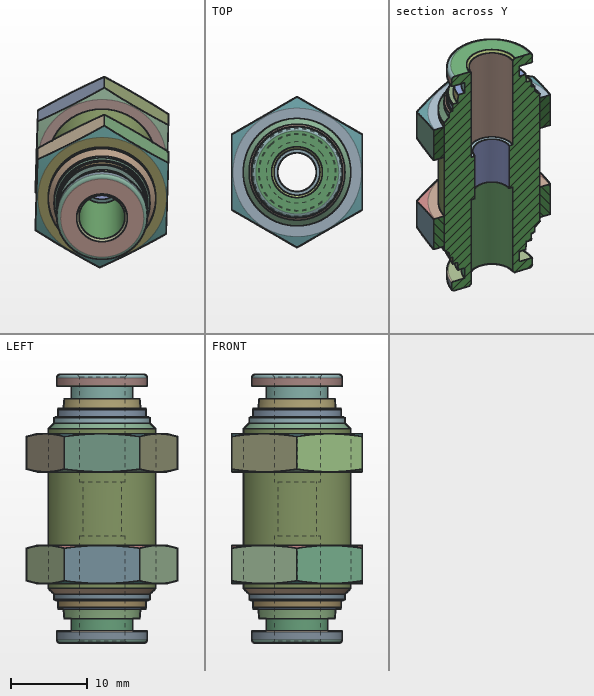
import cadquery as cq
import math

LENGTH = 35.0
HALF_LENGTH = LENGTH / 2

FLANGE_DIA = 11.8
FLANGE_THICKNESS = 1.6
FLANGE_OUTER_ROUND = 0.5
FLANGE_INNER_ROUND = 0.18

NECK_DIA = 8.0
SLEEVE_DEPTH = 3.2
SLEEVE_OUTER_DIA = 9.87
SLEEVE_INNER_DIA = 10.1
RING_DIA = 11.5
RING_DEPTH = 4.45
RING_CHAMFER_RADIAL = 0.07
RING_CHAMFER_AXIAL = 0.2
SHOULDER_DIA = 12.5
SHOULDER_DEPTH = 5.53
SHOULDER_CHAMFER_RADIAL = 0.28
SHOULDER_CHAMFER_AXIAL = 0.18
CONE_DEPTH = 6.37
BARREL_DIA = 14.0
BARREL_DEPTH = CONE_DEPTH + (BARREL_DIA - SHOULDER_DIA) / 2

BORE_DIA = 5.0
SOCKET_DIA = 6.0
SOCKET_DEPTH = 14.0
SOCKET_CHAMFER = 0.3

NUT_ACROSS_FLATS = 17.0
NUT_ACROSS_CORNERS = NUT_ACROSS_FLATS / math.cos(math.radians(30))
NUT_DEPTH = 7.75
NUT_THICKNESS = 5.0
NUT_FACE_DIA = 16.73
NUT_CHAMFER_ANGLE = 15.0
NUT_CENTER = HALF_LENGTH - NUT_DEPTH - NUT_THICKNESS / 2


def make_flange():
    """Round-edged disc at the upper end."""
    return (
        cq.Workplane("XY", origin=(0, 0, HALF_LENGTH - FLANGE_THICKNESS))
        .circle(FLANGE_DIA / 2)
        .extrude(FLANGE_THICKNESS)
        .faces(">Z").edges().fillet(FLANGE_OUTER_ROUND)
        .faces("<Z").edges().fillet(FLANGE_INNER_ROUND)
    )


def make_stem():
    """Solid stepped stem with both ends alike, revolved about Z."""
    shoulder_radius = SHOULDER_DIA / 2
    ring_radius = RING_DIA / 2
    upper_profile = [
        (BARREL_DIA / 2, HALF_LENGTH - BARREL_DEPTH),
        (shoulder_radius, HALF_LENGTH - CONE_DEPTH),
        (shoulder_radius, HALF_LENGTH - SHOULDER_DEPTH - SHOULDER_CHAMFER_AXIAL),
        (shoulder_radius - SHOULDER_CHAMFER_RADIAL, HALF_LENGTH - SHOULDER_DEPTH),
        (ring_radius, HALF_LENGTH - SHOULDER_DEPTH),
        (ring_radius, HALF_LENGTH - RING_DEPTH - RING_CHAMFER_AXIAL),
        (ring_radius - RING_CHAMFER_RADIAL, HALF_LENGTH - RING_DEPTH),
        (SLEEVE_INNER_DIA / 2, HALF_LENGTH - RING_DEPTH),
        (SLEEVE_OUTER_DIA / 2, HALF_LENGTH - SLEEVE_DEPTH),
        (NECK_DIA / 2, HALF_LENGTH - SLEEVE_DEPTH),
        (NECK_DIA / 2, HALF_LENGTH),
        (0, HALF_LENGTH),
    ]
    lower_profile = [(radius, -z) for radius, z in reversed(upper_profile)]
    profile = lower_profile + upper_profile
    return cq.Workplane("XZ").polyline(profile).close().revolve(360, (0, 0), (0, 1))


def make_socket_cutter():
    """Tube socket with a chamfered mouth, at the upper end."""
    socket_radius = SOCKET_DIA / 2
    profile = [
        (0, HALF_LENGTH - SOCKET_DEPTH),
        (socket_radius, HALF_LENGTH - SOCKET_DEPTH),
        (socket_radius, HALF_LENGTH - SOCKET_CHAMFER),
        (socket_radius + SOCKET_CHAMFER, HALF_LENGTH),
        (0, HALF_LENGTH),
    ]
    return cq.Workplane("XZ").polyline(profile).close().revolve(360, (0, 0), (0, 1))


def make_fitting():
    """Stepped tubular fitting, both ends alike."""
    flange = make_flange()
    socket = make_socket_cutter()
    bore = cq.Workplane("XY").circle(BORE_DIA / 2).extrude(LENGTH, both=True)
    outside = make_stem().union(flange).union(flange.mirror("XY"))
    return outside.cut(socket).cut(socket.mirror("XY")).cut(bore)


def make_nut(center_z):
    """Hexagon nut with conical corner chamfers, corners on +Y and -Y."""
    hexagon = (
        cq.Workplane("XY")
        .polygon(6, NUT_ACROSS_CORNERS)
        .extrude(NUT_THICKNESS / 2, both=True)
        .rotate((0, 0, 0), (0, 0, 1), 30)
    )
    face_radius = NUT_FACE_DIA / 2
    cone_height = NUT_THICKNESS / 2 + face_radius * math.tan(math.radians(NUT_CHAMFER_ANGLE))
    cone_radius = cone_height / math.tan(math.radians(NUT_CHAMFER_ANGLE))
    double_cone = (
        cq.Workplane("XZ")
        .polyline([(0, -cone_height), (cone_radius, 0), (0, cone_height)])
        .close()
        .revolve(360, (0, 0), (0, 1))
    )
    hole = cq.Workplane("XY").circle(BARREL_DIA / 2).extrude(NUT_THICKNESS, both=True)
    return hexagon.intersect(double_cone).cut(hole).translate((0, 0, center_z))


fitting = make_fitting()
nuts = [make_nut(center_z) for center_z in (-NUT_CENTER, NUT_CENTER)]

result = cq.Compound.makeCompound([fitting.val(), *[nut.val() for nut in nuts]])